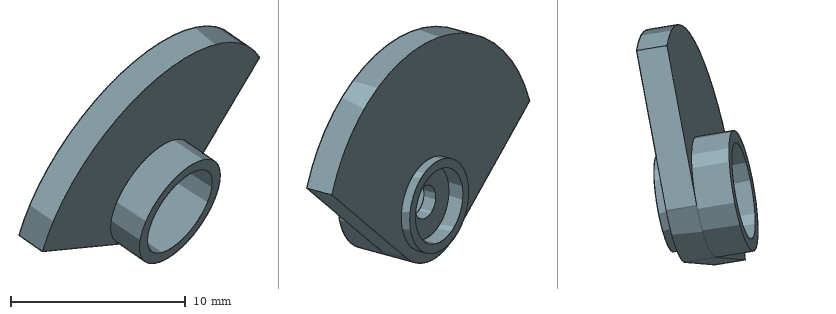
import cadquery as cq
import math

plate_thickness = 1.8
sector_radius = 10.0
corner_angle = math.radians(20.0)

hub_diameter = 7.0
hub_height = 2.2
rim_outer_diameter = 5.6
rim_inner_diameter = 4.5
rim_height = 0.6

bore_diameter = 2.0
bore_length = 0.85
recess_depth = 1.0
counterbore_diameter = 5.6

rim_end_x = -rim_height
recess_floor_x = rim_end_x + recess_depth
counterbore_floor_x = recess_floor_x + bore_length
hub_end_x = plate_thickness + hub_height


def cylinder_along_x(diameter, start_x, end_x):
    """Solid cylinder on the pivot axis between two X positions."""
    return cq.Workplane("YZ", origin=(start_x, 0, 0)).circle(diameter / 2).extrude(end_x - start_x)


def sector_plate():
    """Sector whose straight sides run tangent to the hub circle."""
    hub_radius = hub_diameter / 2
    corner_y = sector_radius * math.cos(corner_angle)
    corner_z = sector_radius * math.sin(corner_angle)
    side_slope = corner_angle + math.asin(hub_radius / sector_radius)
    tangent_y = hub_radius * math.sin(side_slope)
    tangent_z = -hub_radius * math.cos(side_slope)
    return (
        cq.Workplane("YZ")
        .moveTo(-corner_y, corner_z)
        .threePointArc((0, sector_radius), (corner_y, corner_z))
        .lineTo(tangent_y, tangent_z)
        .threePointArc((0, -hub_radius), (-tangent_y, tangent_z))
        .close()
        .extrude(plate_thickness)
    )


hub = cylinder_along_x(hub_diameter, 0, hub_end_x)
rim = cylinder_along_x(rim_outer_diameter, rim_end_x, plate_thickness)
recess = cylinder_along_x(rim_inner_diameter, rim_end_x, recess_floor_x)
bore = cylinder_along_x(bore_diameter, rim_end_x, hub_end_x)
counterbore = cylinder_along_x(counterbore_diameter, counterbore_floor_x, hub_end_x)

result = sector_plate().union(hub).union(rim).cut(recess).cut(bore).cut(counterbore)